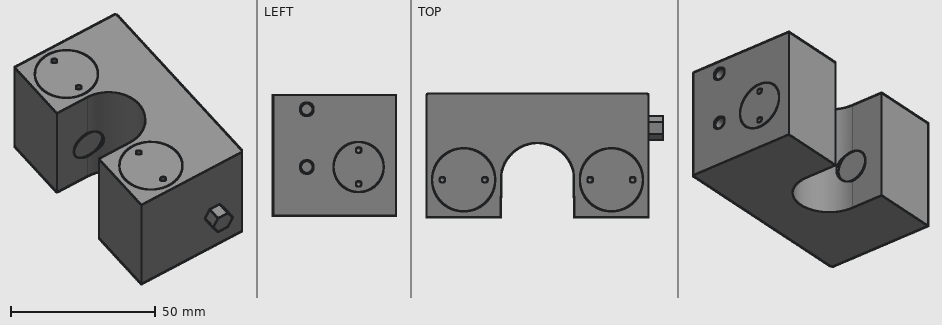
import cadquery as cq
import math

BODY_LENGTH = 77.0
BODY_DEPTH = 43.0
BODY_HEIGHT = 42.0
REAR_CHAMFER = 0.5
TOTAL_LENGTH = 82.0

SLOT_WIDTH = 25.4
BORE_Y = 13.0
BORE_Z = 17.0

PISTON_DIAMETER = 11.8
PISTON_PROTRUSION = 0.25

TOP_PLUG_DIAMETER = 21.8
TOP_PLUG_PIN_SPACING = 14.8
SIDE_PLUG_DIAMETER = 17.3
SIDE_PLUG_PIN_SPACING = 11.7
PLUG_BORE_CLEARANCE = 0.2
PLUG_GAP_DEPTH = 1.0
PIN_HOLE_DIAMETER = 2.0
PIN_HOLE_DEPTH = 3.0
DRILL_TIP_ANGLE = 118.0

PORT_DIAMETER = 4.1
PORT_MOUTH_DIAMETER = 4.75
PORT_DEPTH = 10.0
PORT_SPACING = 20.0
PORT_FROM_REAR = 12.0

HEX_ACROSS_CORNERS = 8.4

half_length = BODY_LENGTH / 2
slot_radius = SLOT_WIDTH / 2
port_y = BODY_DEPTH - PORT_FROM_REAR
plug_x = (half_length + slot_radius) / 2


def slotted_block():
    block = cq.Workplane("XY").box(BODY_LENGTH, BODY_DEPTH, BODY_HEIGHT, centered=(True, False, False))
    block = block.faces(">Y").edges("|Z").chamfer(REAR_CHAMFER)
    slot = (
        cq.Workplane("XY")
        .moveTo(-slot_radius, 0)
        .lineTo(-slot_radius, BORE_Y)
        .threePointArc((0, BORE_Y + slot_radius), (slot_radius, BORE_Y))
        .lineTo(slot_radius, 0)
        .close()
        .extrude(BODY_HEIGHT)
    )
    return block.cut(slot)


def add_pistons(body):
    """Clear the bore between the piston faces, then let each piston stand proud of the slot wall."""
    face_x = slot_radius - PISTON_PROTRUSION
    bore_axis = cq.Workplane("YZ").center(BORE_Y, BORE_Z).circle(PISTON_DIAMETER / 2)
    body = body.cut(bore_axis.extrude(face_x, both=True))
    for side in (-1, 1):
        piston = (
            cq.Workplane("YZ", origin=(side * face_x, BORE_Y, BORE_Z))
            .circle(PISTON_DIAMETER / 2)
            .extrude(side * (plug_x - face_x))
        )
        body = body.union(piston)
    return body


def pin_hole():
    """Drilled hole with a conical tip, going down from the origin along -Z."""
    radius = PIN_HOLE_DIAMETER / 2
    tip_depth = radius / math.tan(math.radians(DRILL_TIP_ANGLE / 2))
    return (
        cq.Workplane("XZ")
        .polyline([(0, 0), (radius, 0), (radius, -PIN_HOLE_DEPTH), (0, -PIN_HOLE_DEPTH - tip_depth)])
        .close()
        .revolve(360, (0, 0), (0, 1))
    )


def plug_cutter(diameter, pin_spacing):
    """Gap ring and two pin holes of a plug lying in the XY plane, with its pins along X."""
    bore_diameter = diameter + PLUG_BORE_CLEARANCE
    cutter = cq.Workplane("XY").circle(bore_diameter / 2).circle(diameter / 2).extrude(-PLUG_GAP_DEPTH)
    for side in (-1, 1):
        cutter = cutter.add(pin_hole().translate((side * pin_spacing / 2, 0, 0)))
    return cutter.combine()


def cut_plugs(body):
    top_plug = plug_cutter(TOP_PLUG_DIAMETER, TOP_PLUG_PIN_SPACING)
    for side in (-1, 1):
        body = body.cut(top_plug.translate((side * plug_x, BORE_Y, BODY_HEIGHT)))
    side_plug = plug_cutter(SIDE_PLUG_DIAMETER, SIDE_PLUG_PIN_SPACING)
    side_plug = side_plug.rotate((0, 0, 0), (0, 1, 0), -90)
    return body.cut(side_plug.translate((-half_length, BORE_Y, BORE_Z)))


def cut_ports(body):
    radius = PORT_DIAMETER / 2
    mouth_radius = PORT_MOUTH_DIAMETER / 2
    mouth_depth = mouth_radius - radius
    port = (
        cq.Workplane("XY")
        .polyline([(0, 0), (0, mouth_radius), (mouth_depth, radius), (PORT_DEPTH, radius), (PORT_DEPTH, 0)])
        .close()
        .revolve(360, (0, 0), (1, 0))
    )
    for port_z in (BORE_Z, BORE_Z + PORT_SPACING):
        body = body.cut(port.translate((-half_length, port_y, port_z)))
    return body


def add_hex_head(body):
    head = (
        cq.Workplane("YZ", origin=(half_length, port_y, BORE_Z))
        .polygon(6, HEX_ACROSS_CORNERS)
        .extrude(TOTAL_LENGTH - BODY_LENGTH)
    )
    return body.union(head)


result = slotted_block()
result = add_pistons(result)
result = cut_plugs(result)
result = cut_ports(result)
result = add_hex_head(result)